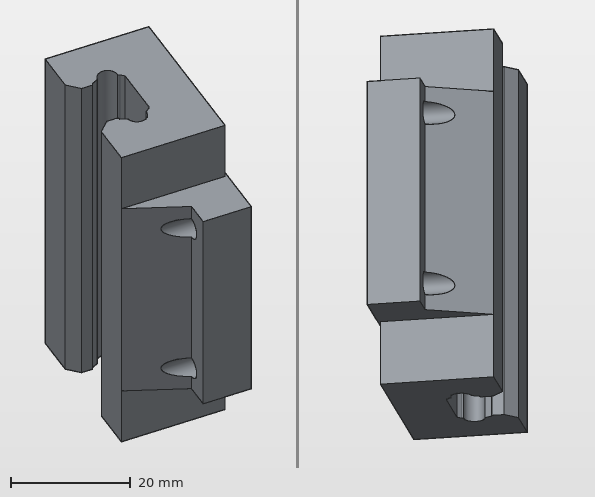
import cadquery as cq
import math

length = 61.4
body_width = 28.85
body_depth = 19.3

flange_width = 47.0
flange_length = 39.35
flange_back = 19.7
flange_thickness = 8.95
flange_front = flange_back - flange_thickness

hole_diameter = 4.0
hole_spacing_x = 38.05
hole_spacing_z = 30.1

channel_depth = 10.0
roof_half_width = 4.55
roof_chamfer = 0.6
mouth_half_width = 4.8
mouth_chamfer = 2.0
lip_top = 4.1
lip_step_width = 0.35
lip_step_height = 0.1

race_center_x = 5.5
race_center_y = 7.25
race_radius = 1.8
race_start_angle = 85.0
race_end_angle = 262.0


def race_point(side, angle):
    """Point on the ball race; 180 degrees faces away from the channel centre."""
    turn = math.radians(angle)
    x = race_center_x - race_radius * math.cos(turn)
    y = race_center_y + race_radius * math.sin(turn)
    return side * x, y


def make_body():
    return cq.Workplane("XY").box(body_width, body_depth, length, centered=(True, False, True))


def make_flange():
    half_body = body_width / 2
    half_flange = flange_width / 2
    half_taper = hole_spacing_x / 2
    outline = [
        (-half_body, 0),
        (half_body, 0),
        (half_taper, flange_front),
        (half_flange, flange_front),
        (half_flange, flange_back),
        (-half_flange, flange_back),
        (-half_flange, flange_front),
        (-half_taper, flange_front),
    ]
    return cq.Workplane("XY").polyline(outline).close().extrude(flange_length / 2, both=True)


def make_channel_half(side):
    """One half of the rail channel; side is -1 or 1."""
    race_middle_angle = (race_start_angle + race_end_angle) / 2
    profile = (
        cq.Workplane("XY")
        .moveTo(0, 0)
        .lineTo(0, channel_depth)
        .lineTo(side * roof_half_width, channel_depth)
        .lineTo(side * (roof_half_width + roof_chamfer), channel_depth - roof_chamfer)
        .lineTo(*race_point(side, race_start_angle))
        .threePointArc(race_point(side, race_middle_angle), race_point(side, race_end_angle))
        .lineTo(side * (mouth_half_width + lip_step_width), lip_top + lip_step_height)
        .lineTo(side * mouth_half_width, lip_top)
        .lineTo(side * mouth_half_width, mouth_chamfer)
        .lineTo(side * (mouth_half_width + mouth_chamfer), 0)
        .close()
    )
    return profile.extrude(length / 2, both=True)


def make_holes():
    return (
        cq.Workplane("XZ")
        .rect(hole_spacing_x, hole_spacing_z, forConstruction=True)
        .vertices()
        .circle(hole_diameter / 2)
        .extrude(-flange_back)
    )


result = make_body().union(make_flange())
for channel_side in (-1, 1):
    result = result.cut(make_channel_half(channel_side))
result = result.cut(make_holes())